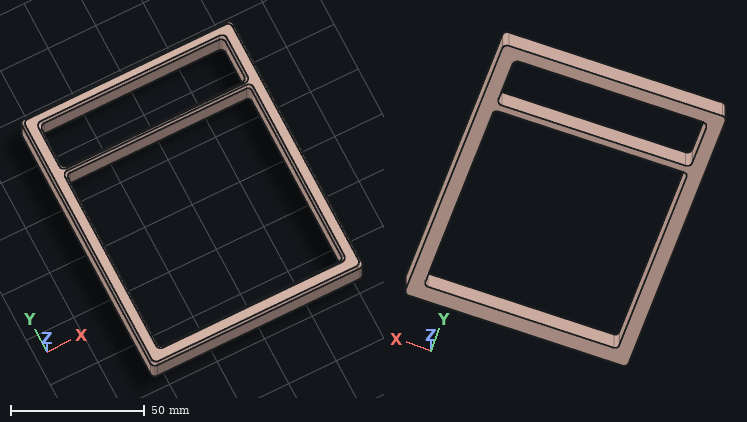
import cadquery as cq

length = 110.2
width = 89.2
height = 13.0
edge_bevel = 1.0
bevel_base = height - edge_bevel

outer_radius = 2.0
main_radius = 1.5
rear_radius = 2.0
top_radius = 2.0

side_wall = 6.0
front_wall = 6.0
rear_wall = 5.0
divider = 2.9

opening_width = width - 2 * side_wall
main_length = opening_width
rear_length = length - front_wall - main_length - divider - rear_wall

main_center = front_wall + main_length / 2 - length / 2
rear_center = length / 2 - rear_wall - rear_length / 2


def rounded_rectangle(size_x, size_y, radius):
    """Rectangle centred on the origin with rounded corners."""
    return cq.Sketch().rect(size_x, size_y).vertices().fillet(radius)


def bevelled_block(size_x, size_y, radius, growth):
    """Straight rounded block whose top band slopes outward by growth on each side."""
    base = rounded_rectangle(size_x, size_y, radius)
    top = rounded_rectangle(size_x + 2 * growth, size_y + 2 * growth, top_radius)
    body = cq.Workplane("XY").placeSketch(base).extrude(bevel_base)
    band = (
        cq.Workplane("XY")
        .workplane(offset=bevel_base)
        .placeSketch(base, top.moved(cq.Location(cq.Vector(0, 0, edge_bevel))))
        .loft()
    )
    return body.union(band)


frame = bevelled_block(width, length, outer_radius, -edge_bevel)
main_opening = bevelled_block(opening_width, main_length, main_radius, edge_bevel)
rear_opening = bevelled_block(opening_width, rear_length, rear_radius, edge_bevel)

frame = frame.cut(main_opening.translate((0, main_center, 0)))
result = frame.cut(rear_opening.translate((0, rear_center, 0)))